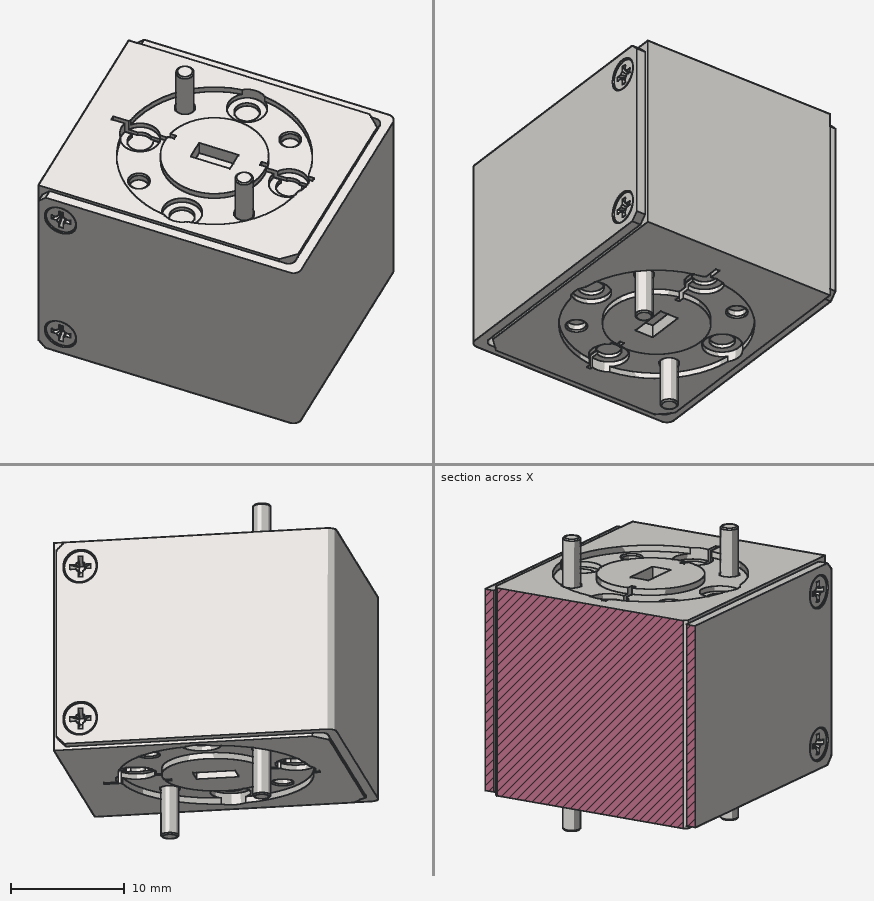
import cadquery as cq
import math


TOTAL_LENGTH = 25.27
TOTAL_WIDTH = 21.6
TOTAL_HEIGHT = 26.8

SHEET = 0.9
COVER_SETBACK_X = 0.4
COVER_SETBACK_Z = 0.3
BEND_OUTER_RADIUS = 0.75
BEND_INNER_RADIUS = 0.67
COVER_CORNER_CHAMFER = 0.7

BODY_WIDTH = 19.8
BODY_HEIGHT = 19.1
BODY_CORNER_CHAMFER = 1.25
AXIS_TO_FREE_END = 12.7
AXIS_OFFSET_Y = 0.32
BODY_LENGTH = TOTAL_LENGTH - SHEET
HALF_BODY_HEIGHT = BODY_HEIGHT / 2
BODY_CENTRE_X = BODY_LENGTH / 2 - AXIS_TO_FREE_END

RING_DIAMETER = 17.2
DISC_DIAMETER = 9.51
RING_DEPTH = 0.55
WINDOW_LENGTH = 3.78
WINDOW_WIDTH = 1.88
WINDOW_DEPTH = 1.25
HOLE_CIRCLE_RADIUS = 7.13
DIAGONAL = HOLE_CIRCLE_RADIUS * math.sqrt(0.5)

SEAT_DIAMETER = 3.56
SEAT_DEPTH = RING_DEPTH + 0.48
SEAT_BORE_DIAMETER = 2.28
SEAT_BORE_DEPTH = SEAT_DEPTH + 0.38

THREAD_DIAMETER = 1.7
THREAD_MOUTH_DIAMETER = 1.95
THREAD_DEPTH = RING_DEPTH + 0.7

PIN_DIAMETER = 1.58
PIN_TIP_CHAMFER = 0.13
PIN_HOLE_DIAMETER = 1.8

SLOT_WIDTH = 0.4
SLOT_OFFSET_Y = 0.75
SLOT_INNER_X = 4.1
SLOT_OUTER_X_FREE_END = 10.13
SLOT_OUTER_X_CLOSED_END = 9.15

SCREW_FROM_FREE_END = 2.52
SCREW_SPACING = 14.0
SCREW_SINK_DIAMETER = 3.05
SCREW_HEAD_DIAMETER = 2.85
SCREW_SINK_DEPTH = 0.1

CROSS_SPAN = 1.88
CROSS_ARM_WIDTH = 0.4
CROSS_CORE_DIAMETER = 0.95
CROSS_FLOOR_SPAN = 0.55
CROSS_DEPTH = 0.9


def cone(base_diameter, top_diameter, height):
    """Truncated cone standing on Z = 0."""
    return cq.Workplane(
        obj=cq.Solid.makeCone(base_diameter / 2, top_diameter / 2, height)
    )


def cylinder_down(diameter, depth):
    """Cylinder reaching from the top face of the body down to the given depth."""
    base = cq.Workplane(origin=(0, 0, HALF_BODY_HEIGHT - depth))
    return base.circle(diameter / 2).extrude(depth)


def make_body():
    block = cq.Workplane().box(BODY_LENGTH, BODY_WIDTH, BODY_HEIGHT)
    block = block.edges("|Z and >X").chamfer(BODY_CORNER_CHAMFER)
    return block.translate((BODY_CENTRE_X, AXIS_OFFSET_Y, 0))


def make_cover():
    length = TOTAL_LENGTH - COVER_SETBACK_X
    height = BODY_HEIGHT - 2 * COVER_SETBACK_Z
    free_end = COVER_SETBACK_X - AXIS_TO_FREE_END
    outer = cq.Workplane().box(length, TOTAL_WIDTH, height)
    outer = outer.edges("|Z and >X").fillet(BEND_OUTER_RADIUS)
    outer = outer.edges("|Y and <X").chamfer(COVER_CORNER_CHAMFER)
    inner = cq.Workplane().box(length, TOTAL_WIDTH - 2 * SHEET, height)
    inner = inner.edges("|Z and >X").fillet(BEND_INNER_RADIUS)
    cover = outer.cut(inner.translate((-SHEET, 0, 0)))
    return cover.translate((free_end + length / 2, AXIS_OFFSET_Y, 0))


def make_slot(inner_x, outer_x):
    """Straight slot along X, as deep as the bores of the screw seats."""
    slot = cq.Workplane().box(abs(outer_x - inner_x), SLOT_WIDTH, SEAT_BORE_DEPTH)
    return slot.translate(
        ((inner_x + outer_x) / 2, SLOT_OFFSET_Y, HALF_BODY_HEIGHT - SEAT_BORE_DEPTH / 2)
    )


def make_flange_cuts():
    """Everything cut into the top face of the body."""
    cuts = cylinder_down(RING_DIAMETER, RING_DEPTH).cut(cylinder_down(DISC_DIAMETER, RING_DEPTH))

    seat = cylinder_down(SEAT_DIAMETER, SEAT_DEPTH)
    seat = seat.union(cylinder_down(SEAT_BORE_DIAMETER, SEAT_BORE_DEPTH))
    for x, y in ((1, 0), (0, 1), (-1, 0), (0, -1)):
        cuts = cuts.union(seat.translate((x * HOLE_CIRCLE_RADIUS, y * HOLE_CIRCLE_RADIUS, 0)))

    mouth_depth = (THREAD_MOUTH_DIAMETER - THREAD_DIAMETER) / 2
    mouth = cone(THREAD_DIAMETER, THREAD_MOUTH_DIAMETER, mouth_depth)
    mouth = mouth.translate((0, 0, HALF_BODY_HEIGHT - RING_DEPTH - mouth_depth))
    thread = cylinder_down(THREAD_DIAMETER, THREAD_DEPTH).union(mouth)
    pin_hole = cylinder_down(PIN_HOLE_DIAMETER, THREAD_DEPTH)
    for side in (-1, 1):
        cuts = cuts.union(thread.translate((side * DIAGONAL, side * DIAGONAL, 0)))
        cuts = cuts.union(pin_hole.translate((side * DIAGONAL, -side * DIAGONAL, 0)))

    cuts = cuts.union(make_slot(-SLOT_INNER_X, -SLOT_OUTER_X_FREE_END))
    cuts = cuts.union(make_slot(SLOT_INNER_X, SLOT_OUTER_X_CLOSED_END))

    window = cq.Workplane().box(WINDOW_LENGTH, WINDOW_WIDTH, WINDOW_DEPTH)
    return cuts.union(window.translate((0, 0, HALF_BODY_HEIGHT - WINDOW_DEPTH / 2)))


def make_pins():
    """Two pins on one diagonal, each running through to the opposite flange."""
    pins = cq.Workplane().pushPoints([(-DIAGONAL, DIAGONAL), (DIAGONAL, -DIAGONAL)])
    pins = pins.circle(PIN_DIAMETER / 2).extrude(TOTAL_HEIGHT / 2, both=True)
    return pins.faces("<Z or >Z").chamfer(PIN_TIP_CHAMFER)


def make_cross_arms():
    """Pair of opposite recess arms along X with ends sloping towards the floor."""
    outline = [
        (-CROSS_SPAN / 2, 0),
        (CROSS_SPAN / 2, 0),
        (CROSS_FLOOR_SPAN / 2, -CROSS_DEPTH),
        (-CROSS_FLOOR_SPAN / 2, -CROSS_DEPTH),
    ]
    return cq.Workplane("XZ").polyline(outline).close().extrude(CROSS_ARM_WIDTH / 2, both=True)


def make_screw_cut():
    """Head outline and cross recess of one screw, cut down from Z = 0."""
    sink = cone(SCREW_HEAD_DIAMETER, SCREW_SINK_DIAMETER, SCREW_SINK_DEPTH)
    arms = make_cross_arms()
    core = cone(CROSS_FLOOR_SPAN, CROSS_CORE_DIAMETER, CROSS_DEPTH)
    cross = arms.union(arms.rotate((0, 0, 0), (0, 0, 1), 90))
    cross = cross.union(core.translate((0, 0, -CROSS_DEPTH)))
    return sink.union(cross).translate((0, 0, -SCREW_SINK_DEPTH))


def make_cover_screw_cuts():
    """Two screws near the free end of each cover leg."""
    screw = make_screw_cut().rotate((0, 0, 0), (1, 0, 0), 90)
    screw = screw.translate((SCREW_FROM_FREE_END - AXIS_TO_FREE_END, -TOTAL_WIDTH / 2, 0))
    front = screw.translate((0, AXIS_OFFSET_Y, SCREW_SPACING / 2))
    front = front.union(screw.translate((0, AXIS_OFFSET_Y, -SCREW_SPACING / 2)))
    return front.union(front.mirror("XZ", (0, AXIS_OFFSET_Y, 0)))


flange_cuts = make_flange_cuts()
result = (
    make_body()
    .union(make_cover())
    .cut(flange_cuts)
    .cut(flange_cuts.mirror("XY"))
    .cut(make_cover_screw_cuts())
    .union(make_pins())
)